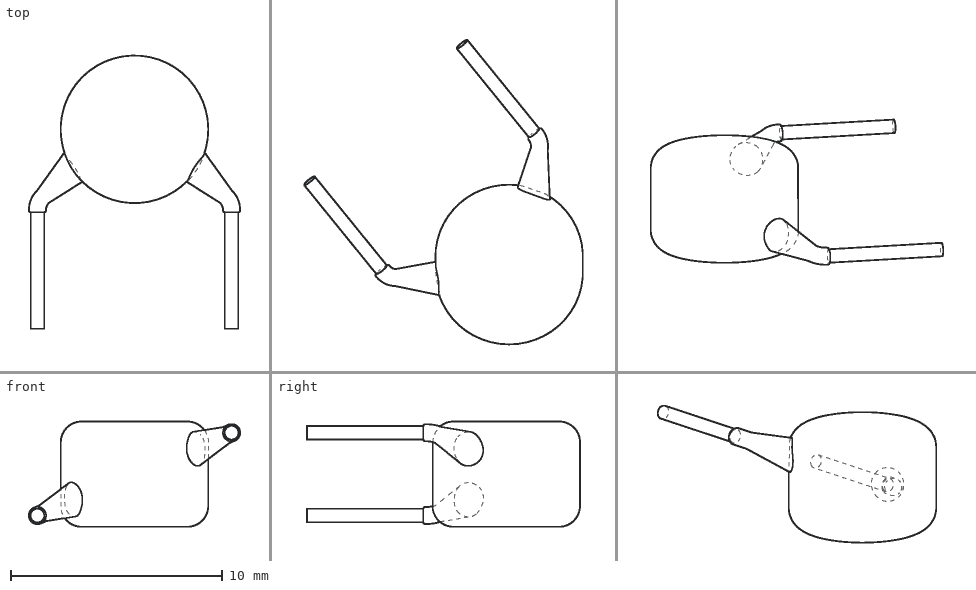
import cadquery as cq
import math


disc_diameter = 7.0
disc_height = 5.0
disc_edge_radius = 1.0

lead_spacing = 10.0
lead_tilt = 23.1
wire_diameter = 0.65
wire_end_y = -9.45

neck_diameter = 0.82
neck_end_y = -3.93
collar_length = 0.1
bend_radius = 0.85
bend_angle = 49.0
cone_half_angle = 10.5
cone_length = 3.0

wire_radius = wire_diameter / 2
neck_radius = neck_diameter / 2
lead_offset = lead_spacing / 2
lip_radius = neck_radius - wire_radius
bend_end_y = neck_end_y + collar_length


def place_lead(shape, half_turn):
    """Turn a shape lying in the XY plane about Y, onto the right or left lead."""
    return shape.rotate((0, 0, 0), (0, 1, 0), half_turn - lead_tilt)


def make_disc():
    disc = cq.Workplane("XY").circle(disc_diameter / 2).extrude(disc_height)
    disc = disc.translate((0, 0, -disc_height / 2))
    return disc.edges("%CIRCLE").fillet(disc_edge_radius)


def make_neck():
    """Cone, elbow and rounded collar, with the collar axis at x = lead_offset."""
    bend_end = cq.Workplane("XZ", origin=(lead_offset, bend_end_y, 0))
    collar = bend_end.circle(neck_radius).extrude(collar_length)
    collar = collar.faces("<Y").edges().fillet(lip_radius)

    elbow = bend_end.circle(neck_radius).revolve(
        bend_angle, (-bend_radius, 0, 0), (-bend_radius, 1, 0)
    )

    turn = math.radians(bend_angle)
    bend_start = cq.Vector(
        lead_offset - bend_radius * (1 - math.cos(turn)),
        bend_end_y + bend_radius * math.sin(turn),
        0,
    )
    cone_axis = cq.Vector(-math.sin(turn), math.cos(turn), 0)
    cone_base_radius = neck_radius + cone_length * math.tan(math.radians(cone_half_angle))
    cone = cq.Solid.makeCone(neck_radius, cone_base_radius, cone_length, bend_start, cone_axis)

    return elbow.union(collar).union(cq.Workplane(obj=cone))


def make_wire():
    """Straight wire butting against the neck end."""
    neck_end = cq.Workplane("XZ", origin=(lead_offset, neck_end_y, 0))
    return neck_end.circle(wire_radius).extrude(neck_end_y - wire_end_y)


housing = make_disc()
wires = []
for half_turn in (0, 180):
    housing = housing.union(place_lead(make_neck(), half_turn))
    wires.append(place_lead(make_wire(), half_turn).val())

result = cq.Compound.makeCompound([housing.val(), *wires])